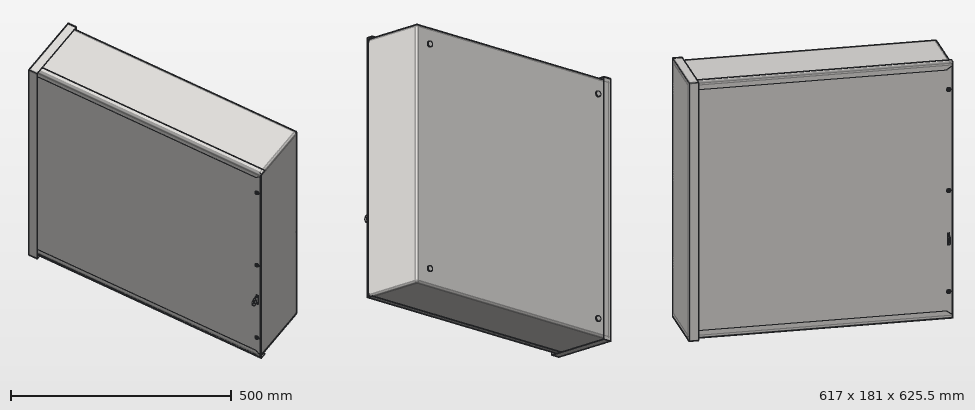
import cadquery as cq
LENGTH_X = 617.0
DEPTH_Y = 181.0
HEIGHT_Z = 625.5
SHEET = 1.5

LEFT_X = -LENGTH_X / 2
RIGHT_X = LENGTH_X / 2
FRONT_Y = -DEPTH_Y / 2
BACK_Y = DEPTH_Y / 2

BOSS_HEIGHT = 3.0
BOSS_DIAMETER = 14.0
BOSS_OFFSET = 267.0
HOUSING_HALF_Z = 308.0
HOUSING_BACK_Y = BACK_Y - BOSS_HEIGHT
HOUSING_RIGHT_X = RIGHT_X - SHEET
HOUSING_LEFT_X = LEFT_X + SHEET
EDGE_RADIUS = 5.5
FLANGE_WIDTH = 17.0
FLANGE_TAPER_LENGTH = 12.5
FLANGE_TAPER_WIDTH = 9.0

COVER_FRONT_Y = -72.5
COVER_HALF_Z = 309.5
COVER_LIP = 17.0
COVER_START = 6.0
COVER_RADIUS = 2.5
HOUSING_FRONT_Y = COVER_FRONT_Y + SHEET

CAP_LENGTH = 23.0
CAP_FRONT_Y = -80.5
CAP_BACK_Y = HOUSING_BACK_Y + SHEET
CAP_RADIUS = 2.5

FASTENER_X = 298.0
SCREW_SPACING = 244.0
SCREW_COUNT = 3
HEAD_DIAMETER = 10.0
HEAD_CROWN_DIAMETER = 7.5
HEAD_HEIGHT = 2.5
DRIVE_DIAMETER = 4.0
DRIVE_DEPTH = 1.0
SHANK_DIAMETER = 5.8
SHANK_LENGTH = 9.5

STAPLE_THICKNESS = 3.0
STAPLE_RADIUS = 10.0
STAPLE_HOLE_DIAMETER = 9.5
STAPLE_CENTRE_Z = -116.5
STAPLE_BOTTOM_Z = -131.5
STAPLE_REACH = 4.0
SLOT_WIDTH = 5.0
SLOT_LEFT_X = FASTENER_X - SLOT_WIDTH / 2
SLOT_TOP_Z = -102.5
STAPLE_CENTRE_Y = FRONT_Y + STAPLE_RADIUS
STAPLE_BACK_Y = HOUSING_FRONT_Y + STAPLE_REACH

SCREW_PLACES = [(FASTENER_X, (i - (SCREW_COUNT - 1) / 2) * SCREW_SPACING) for i in range(SCREW_COUNT)]


def block(x_range, y_range, z_range):
    """Box between two limits along each axis."""
    corner = (x_range[0], y_range[0], z_range[0])
    size = (x_range[1] - x_range[0], y_range[1] - y_range[0], z_range[1] - z_range[0])
    return cq.Workplane("XY").box(*size, centered=False).translate(corner)


def rod(diameter, x, z, y_start, y_end):
    """Cylinder along Y between two Y positions."""
    direction = cq.Vector(0, y_end - y_start, 0)
    start = cq.Vector(x, y_start, z)
    return cq.Workplane(cq.Solid.makeCylinder(diameter / 2, direction.Length, start, direction))


def staple_block(width, y_range, z_range):
    """Box of the given width standing on the slot side that the staple bears against."""
    return block((SLOT_LEFT_X, SLOT_LEFT_X + width), y_range, z_range)


def housing_block(inset):
    """Housing outline inset by a wall, rounded on every edge but the square front right one."""
    body = block(
        (HOUSING_LEFT_X + inset, HOUSING_RIGHT_X - inset),
        (HOUSING_FRONT_Y + inset, HOUSING_BACK_Y - inset),
        (inset - HOUSING_HALF_Z, HOUSING_HALF_Z - inset),
    )
    return body.edges("|X or |Y or (|Z and <X) or (|Z and >Y)").fillet(EDGE_RADIUS - inset)


def front_opening():
    """Front opening, bounded by flanges along -X and both Z sides that taper at the right end."""
    left = HOUSING_LEFT_X + FLANGE_WIDTH
    right = HOUSING_RIGHT_X - SHEET
    half_z = HOUSING_HALF_Z - FLANGE_WIDTH
    taper_start = right - FLANGE_TAPER_LENGTH
    half_z_right = half_z + FLANGE_TAPER_WIDTH
    outline = [
        (left, -half_z),
        (taper_start, -half_z),
        (right, -half_z_right),
        (right, half_z_right),
        (taper_start, half_z),
        (left, half_z),
    ]
    front = cq.Workplane("XZ", origin=(0, HOUSING_FRONT_Y, 0))
    return front.polyline(outline).close().extrude(-2 * SHEET)


def make_housing():
    housing = housing_block(0).cut(housing_block(SHEET)).cut(front_opening())
    for x in (-BOSS_OFFSET, BOSS_OFFSET):
        for z in (-BOSS_OFFSET, BOSS_OFFSET):
            housing = housing.union(rod(BOSS_DIAMETER, x, z, HOUSING_BACK_Y - SHEET, BACK_Y))
    return housing


def make_cover():
    lip_end_y = COVER_FRONT_Y + COVER_LIP
    x_range = (LEFT_X + COVER_START, RIGHT_X)
    cover = block(x_range, (COVER_FRONT_Y, lip_end_y), (-COVER_HALF_Z, COVER_HALF_Z))
    cover = cover.faces("<Y").edges("|X").fillet(COVER_RADIUS)
    inner_half_z = COVER_HALF_Z - SHEET
    inside = block(x_range, (HOUSING_FRONT_Y, lip_end_y), (-inner_half_z, inner_half_z))
    inside = inside.faces("<Y").edges("|X").fillet(COVER_RADIUS - SHEET)
    cover = cover.cut(inside)
    for x, z in SCREW_PLACES:
        cover = cover.cut(rod(SHANK_DIAMETER, x, z, COVER_FRONT_Y, HOUSING_FRONT_Y))
    slot_z = (STAPLE_BOTTOM_Z, SLOT_TOP_Z)
    return cover.cut(staple_block(SLOT_WIDTH, (COVER_FRONT_Y, HOUSING_FRONT_Y), slot_z))


def make_cap():
    end_x = LEFT_X + CAP_LENGTH
    half_z = HEIGHT_Z / 2
    cap = block((LEFT_X, end_x), (CAP_FRONT_Y, CAP_BACK_Y), (-half_z, half_z))
    cap = cap.edges("<X or (|X and <Y)").fillet(CAP_RADIUS)
    cavity = block(
        (LEFT_X + SHEET, end_x),
        (CAP_FRONT_Y + SHEET, CAP_BACK_Y - SHEET),
        (SHEET - half_z, half_z - SHEET),
    )
    return cap.cut(cavity)


def make_screw(x, z):
    crown_y = COVER_FRONT_Y - HEAD_HEIGHT
    head = cq.Workplane(
        cq.Solid.makeCone(
            HEAD_DIAMETER / 2,
            HEAD_CROWN_DIAMETER / 2,
            HEAD_HEIGHT,
            cq.Vector(x, COVER_FRONT_Y, z),
            cq.Vector(0, -1, 0),
        )
    )
    shank = rod(SHANK_DIAMETER, x, z, COVER_FRONT_Y, COVER_FRONT_Y + SHANK_LENGTH)
    drive = rod(DRIVE_DIAMETER, x, z, crown_y, crown_y + DRIVE_DEPTH)
    return head.union(shank).cut(drive)


def make_staple():
    top_z = STAPLE_CENTRE_Z + STAPLE_RADIUS
    tab = staple_block(STAPLE_THICKNESS, (COVER_FRONT_Y, STAPLE_BACK_Y), (STAPLE_BOTTOM_Z, top_z))
    neck_z = (STAPLE_CENTRE_Z - STAPLE_RADIUS, top_z)
    neck = staple_block(STAPLE_THICKNESS, (STAPLE_CENTRE_Y, COVER_FRONT_Y), neck_z)
    side = cq.Workplane("YZ", origin=(SLOT_LEFT_X, STAPLE_CENTRE_Y, STAPLE_CENTRE_Z))
    ring = side.circle(STAPLE_RADIUS).extrude(STAPLE_THICKNESS)
    eye = side.circle(STAPLE_HOLE_DIAMETER / 2).extrude(STAPLE_THICKNESS)
    return tab.union(neck).union(ring).cut(eye)


housing = make_housing()
cover = make_cover()
cap = make_cap()
staple = make_staple()
screws = [make_screw(x, z) for x, z in SCREW_PLACES]

result = cq.Compound.makeCompound(
    [housing.val(), cover.val(), cap.val(), staple.val(), *[screw.val() for screw in screws]]
)